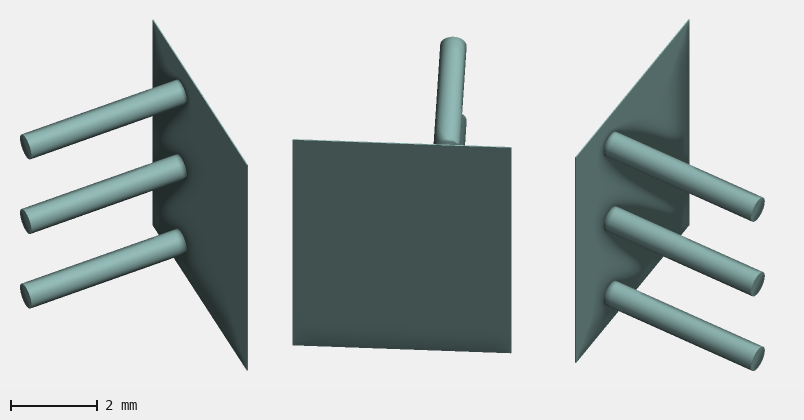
import cadquery as cq

plate_width = 5.03
plate_height = 7.01
total_depth = 3.99
plate_thickness = 0.025

pin_diameter = 0.61
pin_count = 3
pin_pitch = 2.545
pin_from_left_edge = 1.53
pin_length = total_depth - plate_thickness
pin_x = pin_from_left_edge - plate_width / 2

plate = cq.Workplane("XY").box(
    plate_width, plate_thickness, plate_height, centered=(True, False, True)
)

pins = (
    cq.Workplane("XZ")
    .center(pin_x, 0)
    .rarray(0.07, pin_pitch, 1, pin_count)
    .circle(pin_diameter / 2)
    .extrude(pin_length)
)

result = plate.union(pins)